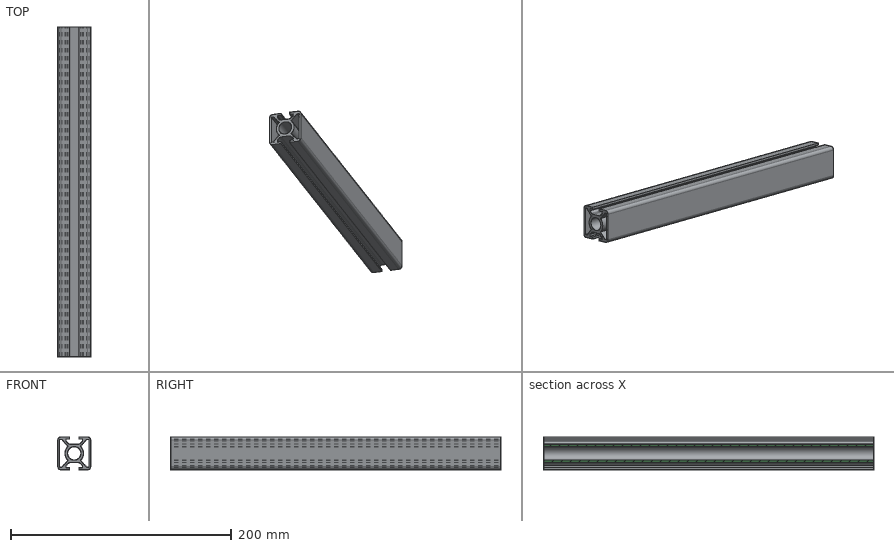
import cadquery as cq
SIZE = 30.0
LENGTH = 300.0
CORNER_RADIUS = 3.0
SIDE_WALL = 1.8
LIP = 2.0
SLOT_OPENING = 8.2
SLOT_WIDTH = 14.8
SLOT_FLOOR = 8.5
SLOT_FLANK_RISE = 3.7
SLOT_FILLET = 2.0
BORE_DIAMETER = 12.0
HUB_DIAMETER = 17.0
CAVITY_ROOF = 2.6
CAVITY_FLANK_X = 11.2

HALF = SIZE / 2


def bar(outline):
    """Extrude an XZ outline over the full length, centred on Y."""
    return outline.extrude(LENGTH / 2, both=True)


def make_block():
    return bar(cq.Workplane("XZ").rect(SIZE, SIZE)).edges("|Y").fillet(CORNER_RADIUS)


def make_slot():
    """T-slot in the top face, narrowing at 45 degrees to a flat floor."""
    half_outline = [
        (SLOT_OPENING / 2, HALF),
        (SLOT_OPENING / 2, HALF - LIP),
        (SLOT_WIDTH / 2, HALF - LIP),
        (SLOT_WIDTH / 2, SLOT_WIDTH / 2 + SLOT_FLANK_RISE),
        (SLOT_FLOOR - SLOT_FLANK_RISE, SLOT_FLOOR),
    ]
    mirrored = [(-x, z) for x, z in reversed(half_outline)]
    slot = bar(cq.Workplane("XZ").polyline(half_outline + mirrored).close())
    return slot.faces("<Z").edges("|Y").fillet(SLOT_FILLET)


def make_cavity():
    """Cavity behind the +X wall, bounded inwards by flanks aimed at the axis and by the round hub."""
    wall_x = HALF - SIDE_WALL
    roof_z = HALF - CAVITY_ROOF
    funnel = [
        (0, 0),
        (CAVITY_FLANK_X, roof_z),
        (wall_x, roof_z),
        (wall_x, -roof_z),
        (CAVITY_FLANK_X, -roof_z),
    ]
    hub = bar(cq.Workplane("XZ").circle(HUB_DIAMETER / 2))
    return bar(cq.Workplane("XZ").polyline(funnel).close()).cut(hub)


bore = bar(cq.Workplane("XZ").circle(BORE_DIAMETER / 2))
slot = make_slot()
cavity = make_cavity()

result = make_block().cut(bore)
result = result.cut(slot).cut(slot.mirror("XY"))
result = result.cut(cavity).cut(cavity.mirror("YZ"))